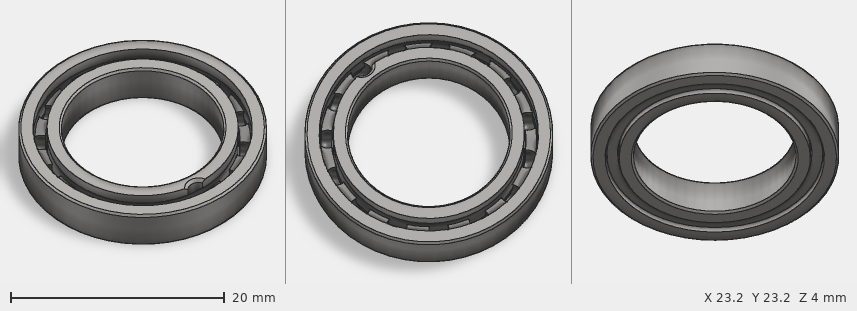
import cadquery as cq

width = 4.0
outer_diameter = 23.2
bore_diameter = 15.2
chamfer = 0.2

inner_shoulder_diameter = 17.89
outer_shoulder_diameter = 20.5
cage_inner_diameter = 18.2
cage_outer_diameter = 20.2

pitch_radius = 9.5
track_radius = 1.1

pocket_count = 15
pocket_radius = 1.1
cage_top = 0.55
cage_bottom = -1.55

notch_radius = 1.0
notch_countersink = 0.3


def tube(outer, inner, bottom, top):
    """Plain ring about Z between two heights."""
    return (
        cq.Workplane("XY")
        .workplane(offset=bottom)
        .circle(outer / 2)
        .circle(inner / 2)
        .extrude(top - bottom)
    )


def ball_track():
    """Torus that cuts the raceway grooves into both rings."""
    return cq.Workplane(cq.Solid.makeTorus(pitch_radius, track_radius))


def filling_notch():
    """Cutter from the mid-plane up to the top face, widened at 45 degrees near the top."""
    top_radius = notch_radius + notch_countersink
    top = width / 2
    cylinder = cq.Workplane("XY").center(pitch_radius, 0).circle(notch_radius).extrude(top)
    countersink_place = cq.Vector(pitch_radius, 0, top - notch_countersink)
    countersink = cq.Solid.makeCone(notch_radius, top_radius, notch_countersink, countersink_place)
    return cylinder.union(cq.Workplane(countersink))


def make_outer_ring():
    ring = tube(outer_diameter, outer_shoulder_diameter, -width / 2, width / 2)
    rims = cq.selectors.RadiusNthSelector(-1)
    return ring.edges(rims).chamfer(chamfer).cut(ball_track())


def make_inner_ring():
    ring = tube(inner_shoulder_diameter, bore_diameter, -width / 2, width / 2)
    rims = cq.selectors.RadiusNthSelector(0)
    ring = ring.edges(rims).chamfer(chamfer)
    return ring.cut(ball_track()).cut(filling_notch())


def make_cage():
    cage = tube(cage_outer_diameter, cage_inner_diameter, cage_bottom, cage_top)
    pockets = cq.Workplane("XY").polarArray(pitch_radius, 0, 360, pocket_count).sphere(pocket_radius)
    return cage.cut(pockets)


outer_ring = make_outer_ring()
inner_ring = make_inner_ring()
cage = make_cage()

result = cq.Compound.makeCompound([outer_ring.val(), inner_ring.val(), cage.val()])